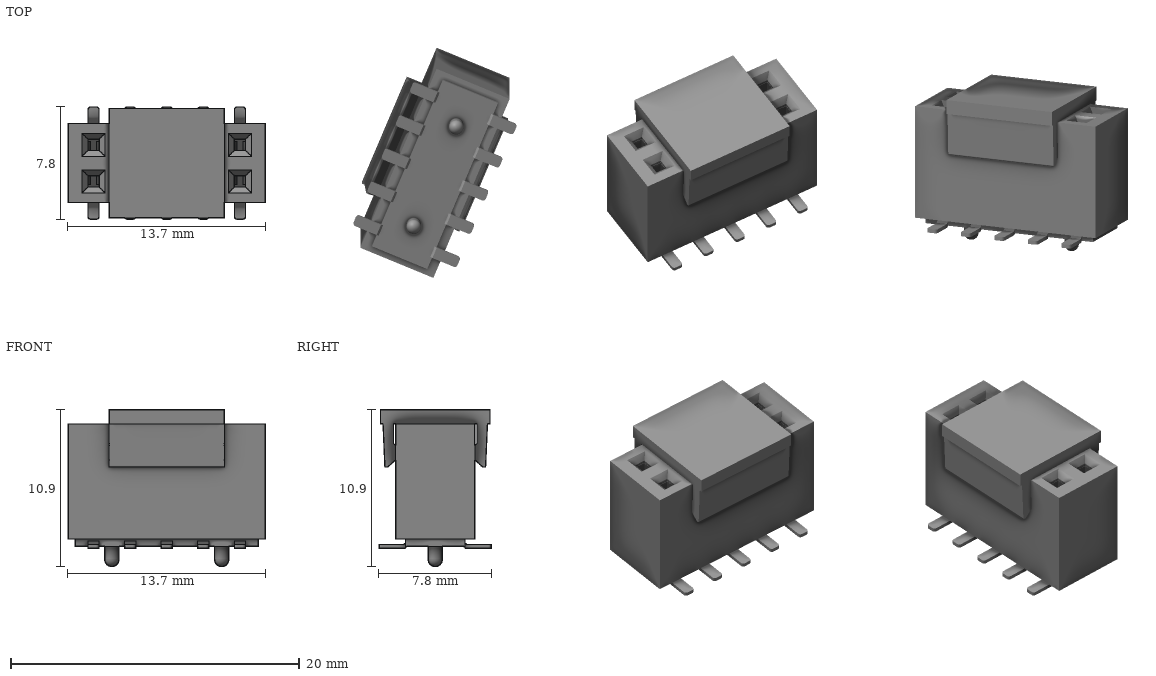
import cadquery as cq


PITCH = 2.54
CONTACTS_PER_ROW = 5
BODY_LENGTH = 13.7
BODY_WIDTH = 5.5
BODY_HEIGHT = 8.0
BASE_LENGTH = 12.7
BASE_WIDTH = 4.15
BASE_HEIGHT = 0.5
BASE_STANDOFF = 0.13
BODY_BOTTOM = BASE_STANDOFF + BASE_HEIGHT
BODY_TOP = BODY_BOTTOM + BODY_HEIGHT

SOCKET_MOUTH = 1.6
SOCKET_BORE = 0.8
LEAD_IN_DEPTH = (SOCKET_MOUTH - SOCKET_BORE) / 2
BORE_STEP_SETBACK = 0.6
BORE_STEP_WIDTH = 0.02
SOCKET_DEPTH = 5.0
TINE_THICKNESS = 0.19
TINE_BACK_GAP = 0.18
TINE_SETBACK = 1.4
TINE_SLOPE_HEIGHT = 0.4

LEAD_SPAN = 7.8
LEAD_WIDTH = 0.78
LEAD_THICKNESS = 0.27
LEAD_TIP_RADIUS = 0.2
BEND_UNDERSIDE_Y = 2.1
BEND_UPPER_Y = 2.18
BEND_TOP = 0.51
BEND_TOP_Y = BEND_UPPER_Y - (BEND_TOP - LEAD_THICKNESS)

PEG_DIAMETER = 1.0
PEG_LENGTH = 1.4
PEG_X = 1.5 * PITCH

CAP_LENGTH = 8.0
CAP_WIDTH = 7.6
CAP_THICKNESS = 1.0
LEG_LENGTH = 3.0
LEG_OUTER_TOP_Y = 3.63
LEG_OUTER_TIP_Y = 3.5
LEG_INNER_Y = 2.88
LEG_TIP_WIDTH = 0.2
LEG_TIP_RADIUS = 0.09
GRIP_TOP = 1.5
GRIP_BOTTOM = 2.5


def box_on(length, width, height, bottom):
    """Box centred on X and Y that rises from the given height."""
    return (
        cq.Workplane("XY")
        .workplane(offset=bottom)
        .rect(length, width)
        .extrude(height)
    )


def extrude_along_x(points, length, centre_x=0):
    """Extrude a (Y, Z) outline symmetrically about a plane of constant X."""
    return (
        cq.Workplane("YZ", origin=(centre_x, 0, 0))
        .polyline(points)
        .close()
        .extrude(length / 2, both=True)
    )


def make_housing():
    body = box_on(BODY_LENGTH, BODY_WIDTH, BODY_HEIGHT, BODY_BOTTOM)
    base = box_on(BASE_LENGTH, BASE_WIDTH, BASE_HEIGHT, BASE_STANDOFF)
    return body.union(base)


def make_tine(side_x, side_y):
    """Contact tine on one X wall of a socket, with a sloped top edge."""
    wall = SOCKET_BORE / 2
    face = wall - TINE_THICKNESS
    top = BODY_TOP - TINE_SETBACK
    bottom = BODY_TOP - SOCKET_DEPTH
    outline = [
        (side_x * wall, bottom),
        (side_x * face, bottom),
        (side_x * face, top - TINE_SLOPE_HEIGHT),
        (side_x * wall, top),
    ]
    width = SOCKET_BORE - TINE_BACK_GAP
    return (
        cq.Workplane("XZ")
        .polyline(outline)
        .close()
        .extrude(width / 2, both=True)
        .translate((0, -side_y * TINE_BACK_GAP / 2, 0))
    )


def make_socket_void(side_y):
    """Tapered mouth, short throat and stepped square bore, less the two contact tines."""
    mouth = (
        cq.Workplane("XY")
        .workplane(offset=BODY_TOP)
        .rect(SOCKET_MOUTH, SOCKET_MOUTH)
        .workplane(offset=-LEAD_IN_DEPTH)
        .rect(SOCKET_BORE, SOCKET_BORE)
        .loft(ruled=True)
    )
    throat_bottom = BODY_TOP - BORE_STEP_SETBACK
    throat_height = BORE_STEP_SETBACK - LEAD_IN_DEPTH
    throat = box_on(SOCKET_BORE, SOCKET_BORE, throat_height, throat_bottom)
    bore_side = SOCKET_BORE - 2 * BORE_STEP_WIDTH
    bore_height = SOCKET_DEPTH - BORE_STEP_SETBACK
    bore = box_on(bore_side, bore_side, bore_height, BODY_TOP - SOCKET_DEPTH)
    void = mouth.union(throat).union(bore)
    for side_x in (-1, 1):
        void = void.cut(make_tine(side_x, side_y))
    return void


def cut_end_sockets(housing):
    """Open the sockets at both ends, which the cap leaves uncovered."""
    end_x = (CONTACTS_PER_ROW - 1) / 2 * PITCH
    for side_y in (-1, 1):
        void = make_socket_void(side_y)
        for x in (-end_x, end_x):
            housing = housing.cut(void.translate((x, side_y * PITCH / 2, 0)))
    return housing


def make_lead(x):
    """Flat foot on the +Y side with a 45 degree bend up into the base."""
    tip = LEAD_SPAN / 2
    outline = [
        (tip, 0),
        (BEND_UNDERSIDE_Y, 0),
        (BEND_UNDERSIDE_Y - BEND_TOP, BEND_TOP),
        (BEND_TOP_Y, BEND_TOP),
        (BEND_UPPER_Y, LEAD_THICKNESS),
        (tip, LEAD_THICKNESS),
    ]
    lead = extrude_along_x(outline, LEAD_WIDTH, x)
    return lead.faces(">Y").edges("|Z").fillet(LEAD_TIP_RADIUS)


def make_lead_notch(x):
    """Space in the side of the base above the lead bend."""
    depth = BASE_WIDTH / 2 - BEND_TOP_Y
    notch = box_on(LEAD_WIDTH, depth, BEND_TOP - BASE_STANDOFF, BASE_STANDOFF)
    return notch.translate((x, BEND_TOP_Y + depth / 2, 0))


def add_leads(part):
    for index in range(CONTACTS_PER_ROW):
        x = (index - (CONTACTS_PER_ROW - 1) / 2) * PITCH
        notch = make_lead_notch(x)
        lead = make_lead(x)
        part = part.cut(notch).cut(notch.mirror("XZ"))
        part = part.union(lead).union(lead.mirror("XZ"))
    return part


def make_peg(x):
    """Locating peg below the base with a hemispherical end."""
    radius = PEG_DIAMETER / 2
    shank_length = PEG_LENGTH - radius
    shank_bottom = BASE_STANDOFF - shank_length
    shank = (
        cq.Workplane("XY", origin=(x, 0, shank_bottom))
        .circle(radius)
        .extrude(shank_length)
    )
    end = cq.Workplane("XY", origin=(x, 0, shank_bottom)).sphere(radius)
    return shank.union(end)


def make_cap_leg():
    """Tapered leg on the +Y side that grips the side of the body."""
    body_y = BODY_WIDTH / 2
    tip_z = BODY_TOP - LEG_LENGTH
    grip_top_z = BODY_TOP - GRIP_TOP
    outline = [
        (LEG_INNER_Y, BODY_TOP),
        (LEG_OUTER_TOP_Y, BODY_TOP),
        (LEG_OUTER_TIP_Y, tip_z),
        (LEG_OUTER_TIP_Y - LEG_TIP_WIDTH, tip_z),
        (body_y, BODY_TOP - GRIP_BOTTOM),
        (body_y, grip_top_z),
        (LEG_INNER_Y, grip_top_z + LEG_INNER_Y - body_y),
    ]
    leg = extrude_along_x(outline, CAP_LENGTH)
    return leg.faces("<Z").edges("|X").fillet(LEG_TIP_RADIUS)


def make_cap():
    plate = box_on(CAP_LENGTH, CAP_WIDTH, CAP_THICKNESS, BODY_TOP)
    leg = make_cap_leg()
    return plate.union(leg).union(leg.mirror("XZ"))


result = cut_end_sockets(make_housing())
result = add_leads(result)
result = result.union(make_cap())
for peg_x in (-PEG_X, PEG_X):
    result = result.union(make_peg(peg_x))